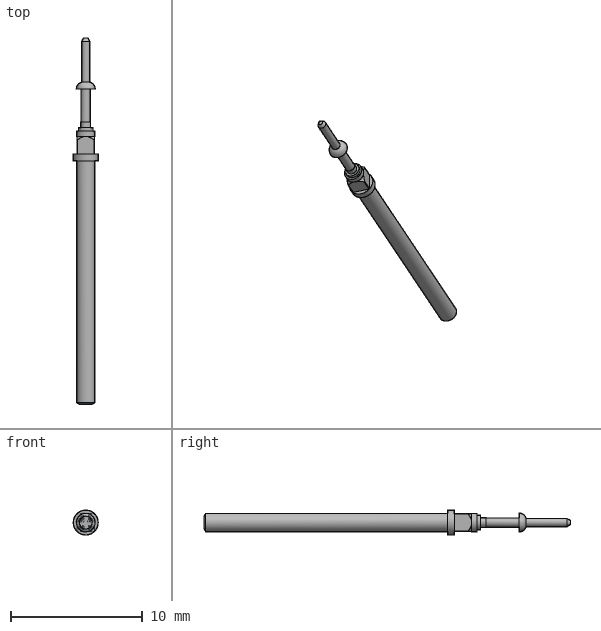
import cadquery as cq
import math

TOTAL_LENGTH = 27.8

PLUNGER_DIA = 0.64
HEAD_DIA = 1.45
SHAFT_DIA = 0.72
NECK_DIA = 0.76
COLLAR_DIA = 1.12
BODY_DIA = 1.4
BARREL_DIA = 1.4
FLANGE_DIA = 1.9

TIP_CONE_END = 0.28
HEAD_FRONT = 3.36
HEAD_BACK = 3.9
NECK_FRONT = 6.4
COLLAR_FRONT = 6.82
BODY_FRONT = 7.08
CONE_START = 7.5
FLANGE_FRONT = 8.8
FLANGE_BACK = 9.33

TIP_FLAT_DIA = 0.32
HEAD_FRONT_DIA = 0.66
SQUARE_SIDE = 1.36
SQUARE_CORNER_DIA = 1.86
SQUARE_CONE_LENGTH = 0.25
BARREL_END_LENGTH = 0.13
BARREL_END_DIA = 0.96

TIP_Y = TOTAL_LENGTH / 2


def cylinder(start, end, diameter):
    """Cylinder on the Y axis between two stations behind the tip."""
    return (
        cq.Workplane("XZ", origin=(0, TIP_Y - start, 0))
        .circle(diameter / 2)
        .extrude(end - start)
    )


def cone(start, end, start_dia, end_dia):
    """Truncated cone on the Y axis between two stations behind the tip."""
    return cq.Workplane(cq.Solid.makeCone(
        start_dia / 2,
        end_dia / 2,
        end - start,
        pnt=cq.Vector(0, TIP_Y - start, 0),
        dir=cq.Vector(0, -1, 0),
    ))


def plunger():
    """Contact pin with a blunt conical tip."""
    tip = cone(0, TIP_CONE_END, TIP_FLAT_DIA, PLUNGER_DIA)
    return tip.union(cylinder(TIP_CONE_END, HEAD_FRONT, PLUNGER_DIA))


def mushroom_head():
    """Domed head whose arc runs parallel to the axis where it meets the flat back."""
    front_y = TIP_Y - HEAD_FRONT
    back_y = TIP_Y - HEAD_BACK
    front_radius = HEAD_FRONT_DIA / 2
    head_radius = HEAD_DIA / 2
    rise = head_radius - front_radius
    arc_radius = (rise**2 + (front_y - back_y) ** 2) / (2 * rise)
    half_angle = math.asin((front_y - back_y) / arc_radius) / 2
    arc_middle = (
        head_radius - arc_radius * (1 - math.cos(half_angle)),
        back_y + arc_radius * math.sin(half_angle),
    )
    return (
        cq.Workplane("XY")
        .moveTo(0, back_y)
        .lineTo(head_radius, back_y)
        .threePointArc(arc_middle, (front_radius, front_y))
        .lineTo(0, front_y)
        .close()
        .revolve(360, (0, 0, 0), (0, 1, 0))
    )


def square_section():
    """Square press-fit block with turned corners and a conical lead-in."""
    cone_end = CONE_START + SQUARE_CONE_LENGTH
    block = (
        cq.Workplane("XZ", origin=(0, TIP_Y - CONE_START, 0))
        .rect(SQUARE_SIDE, SQUARE_SIDE)
        .extrude(FLANGE_FRONT - CONE_START)
    )
    envelope = cone(CONE_START, cone_end, BODY_DIA, SQUARE_CORNER_DIA).union(
        cylinder(cone_end, FLANGE_FRONT, SQUARE_CORNER_DIA)
    )
    return block.intersect(envelope)


def barrel():
    """Long barrel with a bevelled closed end."""
    bevel_start = TOTAL_LENGTH - BARREL_END_LENGTH
    end = cone(bevel_start, TOTAL_LENGTH, BARREL_DIA, BARREL_END_DIA)
    return cylinder(FLANGE_BACK, bevel_start, BARREL_DIA).union(end)


result = (
    plunger()
    .union(mushroom_head())
    .union(cylinder(HEAD_BACK, NECK_FRONT, SHAFT_DIA))
    .union(cylinder(NECK_FRONT, COLLAR_FRONT, NECK_DIA))
    .union(cylinder(COLLAR_FRONT, BODY_FRONT, COLLAR_DIA))
    .union(cylinder(BODY_FRONT, CONE_START, BODY_DIA))
    .union(square_section())
    .union(cylinder(FLANGE_FRONT, FLANGE_BACK, FLANGE_DIA))
    .union(barrel())
)